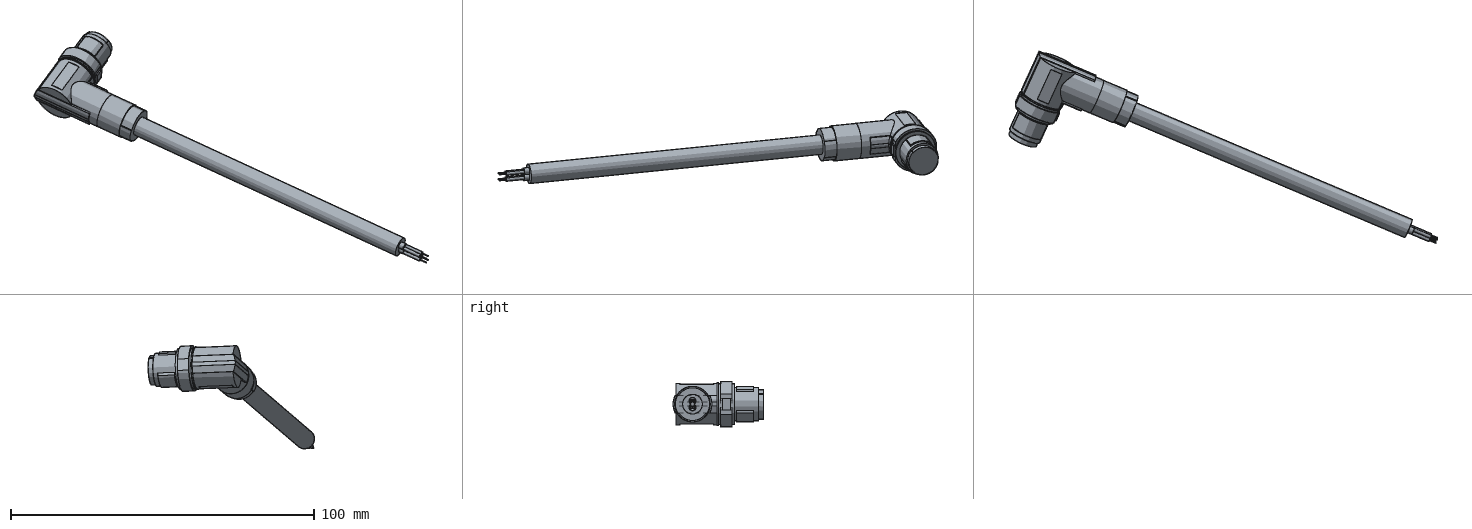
import cadquery as cq


body_radius = 6.9
body_bottom = -5.5
body_top = 8.1
arm_radius = 5.88
arm_end = 16.3

band_half_width = 2.9
band_plug_radius = 7.2
band_arm_radius = 6.4
band_end = 13.3
rib_half_width = 0.65
rib_height = 0.1

label_half_width = 2.0
label_start = -4.2
label_end = 7.0
label_height = (body_radius**2 - label_half_width**2) ** 0.5

lower_ring_radius = 7.1
lower_ring_top = 8.6
collar_radius = 7.5
collar_start = 9.3
collar_end = 13.1
collar_flat = 7.25
marker_flat = 6.7
marker_half_width = 1.9
marker_start = 9.9
marker_end = 12.5
flange_radius = 6.8
flange_end = 13.9

nose_radius = 5.5
nose_end = 21.8
tip_radius = 5.0
tip_end = 23.5
key_half_width = 3.6
key_radius = 4.8
pad_radius = 5.9
pad_start = 14.6
pad_end = 20.2
upper_pad_half_width = 3.5
lower_pad_half_width = 5.1

sleeve_radius = 5.85
sleeve_end = 24.7
gland_radius = 5.4
gland_end = 28.8
grip_half_width = 2.9
grip_radius = 5.65

cable_radius = 3.25
cable_end = 128.7
jacket_radius = 1.15
jacket_offset = 1.05
jacket_end = 130.4
wire_radius = 0.55
wire_offset = 0.6
wire_end = 136.6
conductor_radius = 0.15
conductor_end = 138.95


def rod_x(radius, start, end, y=0, z=0):
    """Cylinder parallel to X."""
    return cq.Workplane("YZ").workplane(offset=start).center(y, z).circle(radius).extrude(end - start)


def rod_y(radius, start, end):
    """Cylinder on the plug axis."""
    return cq.Workplane("XZ").workplane(offset=-start).circle(radius).extrude(start - end)


def block(x_range, y_range, z_range):
    """Box given by its limits along each axis."""
    limits = (x_range, y_range, z_range)
    sizes = [high - low for low, high in limits]
    corner = tuple(low for low, high in limits)
    return cq.Workplane("XY").box(*sizes, centered=False).translate(corner)


def both_sides(value):
    return (-value, value)


def grip_band(half_width, plug_radius, arm_band_radius):
    """Band following the rounded outside of the plug body and of the cable arm."""
    strip = block((-plug_radius, band_end), (-arm_band_radius, body_top), both_sides(half_width))
    along_plug = rod_y(plug_radius, -arm_band_radius, body_top)
    along_arm = rod_x(arm_band_radius, -plug_radius, band_end)
    rounded_bottom = along_arm.union(
        block(both_sides(plug_radius), (0, body_top), both_sides(half_width))
    )
    plug_stretch = along_plug.intersect(rounded_bottom)
    arm_stretch = along_arm.intersect(
        along_plug.union(block((0, band_end), both_sides(arm_band_radius), both_sides(half_width)))
    )
    return plug_stretch.union(arm_stretch).intersect(strip)


def housing():
    body = rod_y(body_radius, body_bottom, body_top)
    for side in (-1, 1):
        z_range = sorted((side * label_height, side * collar_radius))
        body = body.cut(block(both_sides(label_half_width), (label_start, label_end), z_range))
    arm = rod_x(arm_radius, 0, arm_end)
    arm = arm.cut(block((0, body_radius), (-arm_radius, body_bottom), both_sides(arm_radius)))
    body = body.union(arm)
    body = body.union(grip_band(band_half_width, band_plug_radius, band_arm_radius))
    return body.union(
        grip_band(rib_half_width, band_plug_radius + rib_height, band_arm_radius + rib_height)
    )


def coupling():
    flats = block((-collar_flat, marker_flat), (collar_start, collar_end), both_sides(collar_radius))
    marker = block((0, collar_flat), (marker_start, marker_end), both_sides(marker_half_width))
    collar = rod_y(collar_radius, collar_start, collar_end).intersect(flats).union(marker)
    return (
        rod_y(flange_radius, body_top, flange_end)
        .union(rod_y(lower_ring_radius, body_top, lower_ring_top))
        .union(collar)
    )


def coding_pad(half_width, z_range):
    window = block(both_sides(half_width), (pad_start, pad_end), z_range)
    return rod_y(pad_radius, pad_start, pad_end).intersect(window)


def nose_tip():
    """Tip of the nose, with a shallow key sunk in its upper side."""
    key = block(both_sides(key_half_width), (nose_end, tip_end), (0, tip_radius))
    key = key.cut(rod_y(key_radius, nose_end, tip_end))
    return rod_y(tip_radius, nose_end, tip_end).cut(key)


def plug_nose():
    return (
        rod_y(nose_radius, flange_end, nose_end)
        .union(nose_tip())
        .union(coding_pad(upper_pad_half_width, (0, pad_radius)))
        .union(coding_pad(lower_pad_half_width, (-pad_radius, 0)))
    )


def cable_gland():
    window = block((sleeve_end, gland_end), both_sides(sleeve_radius), both_sides(grip_half_width))
    grips = rod_x(grip_radius, sleeve_end, gland_end).intersect(window)
    return (
        rod_x(sleeve_radius, arm_end, sleeve_end)
        .union(rod_x(gland_radius, sleeve_end, gland_end))
        .union(grips)
    )


def cable():
    bundle = rod_x(cable_radius, gland_end, cable_end)
    for z in both_sides(jacket_offset):
        bundle = bundle.union(rod_x(jacket_radius, cable_end, jacket_end, z=z))
        for y in both_sides(wire_offset):
            bundle = bundle.union(rod_x(wire_radius, jacket_end, wire_end, y, z))
            bundle = bundle.union(rod_x(conductor_radius, wire_end, conductor_end, y, z))
    return bundle


result = housing().union(coupling()).union(plug_nose()).union(cable_gland()).union(cable())